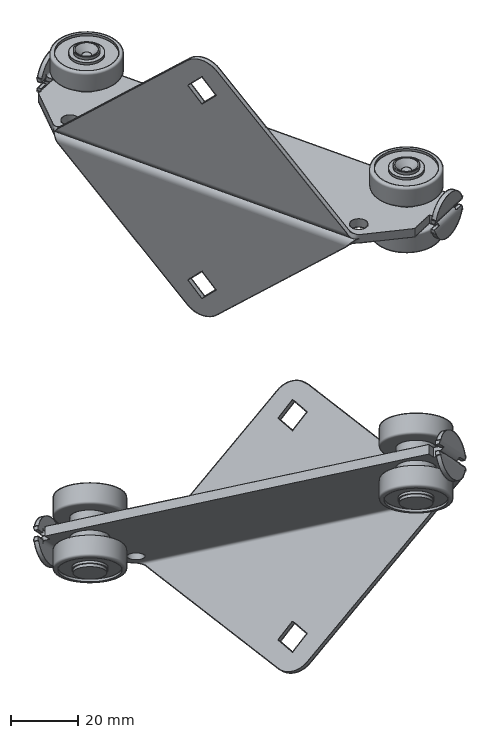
import cadquery as cq
import math


length = 139.8
depth = 37.9
flange_top = 46.5

sheet = 1.5
bend_outer = 2.4
bend_inner = bend_outer - sheet

plate_half_length = 66.0
corner_y = 13.8
edge_angle = 42.7
hole_diameter = 5.5
hole_x = 50.6
hole_y = 7.0

window_side = 7.0
window_z = 35.5

left_roller_x = -57.2
right_roller_x = 55.0
roller_diameter = 22.0
roller_y = depth - roller_diameter / 2
roller_inner_z = 4.9
roller_outer_z = 11.9
roller_rounding = 0.7
recess_diameter = 19.2
recess_depth = 0.8
ring_diameter = 10.8
spacer_diameter = 12.0

rivet_end_z = 12.9
rivet_top_diameter = 8.0
rivet_bottom_diameter = 10.0
cone_mouth_diameter = 7.0
cone_floor_diameter = 3.0
cone_depth = 2.0

lug_diameter = 15.4
neck_width = 9.6
lug_slit = 2.1

edge_slope = math.tan(math.radians(edge_angle))
bend_arc = math.pi / 2 * (bend_outer + bend_inner) / 2
bend_half_length = plate_half_length - (corner_y - bend_outer) / edge_slope
flange_half_length = bend_half_length - bend_arc / edge_slope
flange_apex_z = bend_outer + flange_half_length * edge_slope
tip_radius = (flange_apex_z - flange_top) / (1 / math.cos(math.radians(edge_angle)) - 1)
plate_back_y = roller_y + lug_diameter / 2
lug_bend_x = length / 2 - bend_outer


def both_z(body):
    return body.union(body.mirror("XY"))


def both_x(body):
    return body.union(body.mirror("YZ"))


def disc(diameter, z_low, z_high):
    return cq.Workplane("XY").workplane(offset=z_low).circle(diameter / 2).extrude(z_high - z_low)


def quarter_ring(plane):
    """Section of a bend about the plane origin, between its -x and -y directions."""
    mid_out = -bend_outer * math.sqrt(0.5)
    mid_in = -bend_inner * math.sqrt(0.5)
    return (
        cq.Workplane(plane)
        .moveTo(-bend_outer, 0)
        .threePointArc((mid_out, mid_out), (0, -bend_outer))
        .lineTo(0, -bend_inner)
        .threePointArc((mid_in, mid_in), (-bend_inner, 0))
        .close()
    )


def make_plate():
    plate = (
        cq.Workplane("XY")
        .workplane(offset=-sheet)
        .polyline([
            (-plate_half_length, plate_back_y),
            (-plate_half_length, corner_y),
            (-bend_half_length, bend_outer),
            (bend_half_length, bend_outer),
            (plate_half_length, corner_y),
            (plate_half_length, plate_back_y),
        ])
        .close()
        .extrude(2 * sheet)
    )
    holes = (
        cq.Workplane("XY")
        .workplane(offset=-sheet)
        .pushPoints([(-hole_x, hole_y), (hole_x, hole_y)])
        .circle(hole_diameter / 2)
        .extrude(2 * sheet)
    )
    return plate.cut(holes)


def make_flange():
    flange = (
        cq.Workplane("XZ")
        .polyline([
            (-flange_half_length, bend_outer),
            (flange_half_length, bend_outer),
            (0, flange_apex_z),
        ])
        .close()
        .extrude(-sheet)
        .edges("|Y and >Z")
        .fillet(tip_radius)
    )
    window = (
        cq.Workplane("XZ")
        .center(0, window_z)
        .transformed(rotate=(0, 0, 45))
        .rect(window_side, window_side)
        .extrude(-sheet)
    )
    return flange.cut(window)


def make_flange_bend():
    """Bend between plate and flange; its ends wind helically so the sloping edge stays continuous."""
    half_bend = quarter_ring(cq.Plane((0, bend_outer, bend_outer), (0, 1, 0), (1, 0, 0)))
    half_bend = half_bend.extrude(bend_half_length)
    winding_start = cq.Plane((flange_half_length, bend_outer, bend_outer), (0, 1, 0), (1, 0, 0))
    waste_size = 2 * bend_outer
    waste = (
        cq.Workplane(winding_start)
        .rect(-waste_size, waste_size, centered=False)
        .twistExtrude(bend_half_length - flange_half_length, 90)
    )
    return both_x(half_bend.cut(waste))


def lug_bends(width):
    """The two bends that turn the sheets of the +X neck outwards, up and down."""
    plane = cq.Plane((lug_bend_x, roller_y - width / 2, bend_outer), (-1, 0, 0), (0, 1, 0))
    return both_z(quarter_ring(plane).extrude(width))


def make_lug():
    """Neck and slotted round bumper at the +X end."""
    neck_length = lug_bend_x - plate_half_length
    neck = cq.Workplane("XY").box(neck_length, neck_width, 2 * sheet, centered=(False, True, True))
    neck = neck.translate((plate_half_length, roller_y, 0))

    neck_bends = lug_bends(neck_width)
    face_layer = cq.Workplane("XY").box(sheet, 2 * lug_diameter, 2 * bend_outer)
    face_layer = face_layer.translate((length / 2 - sheet / 2, roller_y, 0))
    slit = cq.Workplane("XY").box(2 * length, 2 * lug_diameter, lug_slit).translate((0, roller_y, 0))
    wide_bends = lug_bends(lug_diameter).intersect(face_layer).cut(slit)

    bumper = (
        cq.Workplane("YZ")
        .workplane(offset=length / 2 - sheet)
        .center(roller_y, 0)
        .circle(lug_diameter / 2)
        .extrude(sheet)
    )
    gap = cq.Workplane("XY").box(2 * length, 2 * lug_diameter, 2 * bend_outer)
    bumper = bumper.cut(gap.translate((0, roller_y, 0)))
    return neck.union(neck_bends).union(wide_bends).union(bumper)


def make_roller():
    """One roller with its spacer, above the plate and centred on the Z axis."""
    roller = disc(roller_diameter, roller_inner_z, roller_outer_z).edges().fillet(roller_rounding)
    recess = disc(recess_diameter, roller_outer_z - recess_depth, roller_outer_z)
    ring = disc(ring_diameter, roller_outer_z - recess_depth, roller_outer_z)
    spacer = disc(spacer_diameter, 0, roller_inner_z)
    return roller.cut(recess).union(ring).union(spacer)


def make_roller_pair(x):
    cone = (
        cq.Workplane("XY")
        .workplane(offset=rivet_end_z - cone_depth)
        .circle(cone_floor_diameter / 2)
        .workplane(offset=cone_depth)
        .circle(cone_mouth_diameter / 2)
        .loft()
    )
    pair = (
        both_z(make_roller())
        .union(disc(rivet_top_diameter, 0, rivet_end_z))
        .union(disc(rivet_bottom_diameter, -rivet_end_z, 0))
        .cut(cone)
    )
    return pair.translate((x, roller_y, 0))


flanges = both_z(make_flange().union(make_flange_bend()))
result = make_plate().union(flanges).union(both_x(make_lug()))
for x in (left_roller_x, right_roller_x):
    result = result.union(make_roller_pair(x))